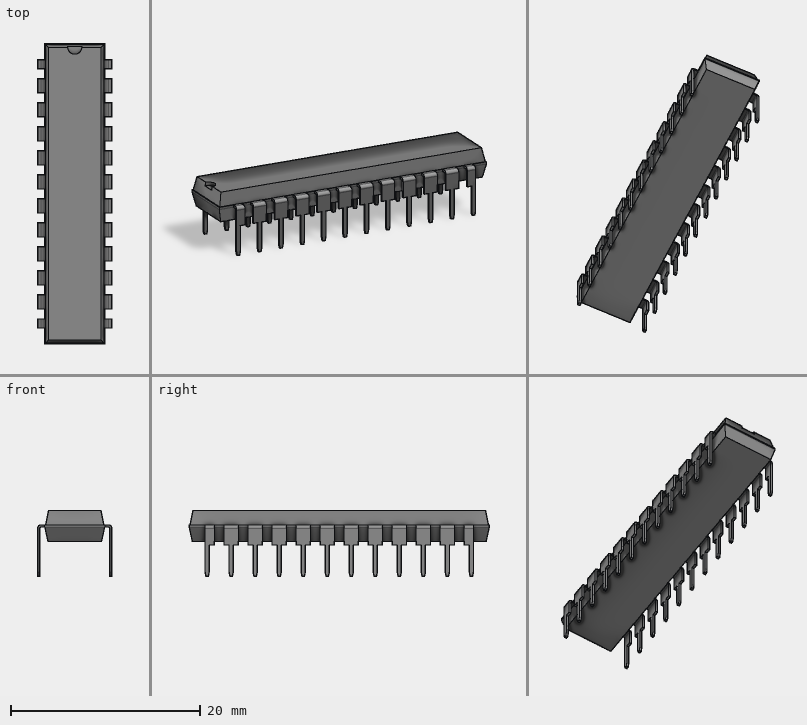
import cadquery as cq


body_length = 31.75
body_width = 6.35
body_height = 3.3
standoff = 0.38
upper_inset = 0.395
upper_ledge = 0.09
lower_inset = 0.33

notch_radius = 0.75
notch_depth = 0.4
notch_inset = 0.35

pins_per_side = 12
pitch = 2.54
row_spacing = 7.62
lead_thickness = 0.25
shoulder_width = 1.524
pin_width = 0.46
pin_length = 3.3
bend_inner_radius = 0.125
tip_height = 0.45
tip_width = 0.28
lead_embed = 0.5

body_bottom = standoff
body_top = standoff + body_height
band_bottom = (body_bottom + body_top - lead_thickness) / 2
band_top = band_bottom + lead_thickness
lead_outer_x = (row_spacing + lead_thickness) / 2
bend_outer_radius = bend_inner_radius + lead_thickness


def body_section(z, inset):
    """Rectangle at height z, drawn in from the largest body outline."""
    return cq.Workplane("XY").workplane(offset=z).rect(body_width - 2 * inset, body_length - 2 * inset)


def tapered_block(z_start, inset_start, z_end, inset_end):
    """Four-sided block that tapers between two body sections."""
    return (
        body_section(z_start, inset_start)
        .workplane(offset=z_end - z_start)
        .rect(body_width - 2 * inset_end, body_length - 2 * inset_end)
        .loft(ruled=True)
    )


def make_body():
    """Parting band with a tapered half above and below it, less the end notch."""
    band = body_section(band_bottom, 0).extrude(lead_thickness)
    upper = tapered_block(band_top, upper_ledge, body_top, upper_inset)
    lower = tapered_block(band_bottom, 0, body_bottom, lower_inset)
    return band.union(upper).union(lower).cut(make_notch())


def make_notch():
    """U-shaped pocket in the top face, open through the +Y end."""
    center_y = body_length / 2 - notch_inset
    floor = cq.Workplane("XY").workplane(offset=body_top - notch_depth)
    return (
        floor.moveTo(-notch_radius, body_length / 2)
        .lineTo(-notch_radius, center_y)
        .threePointArc((0, center_y - notch_radius), (notch_radius, center_y))
        .lineTo(notch_radius, body_length / 2)
        .close()
        .extrude(notch_depth)
    )


def make_bent_strip():
    """Bent strip of the +X side, as wide as a shoulder and centred on Y = 0."""
    inner_end = body_width / 2 - lead_embed
    lead_inner_x = lead_outer_x - lead_thickness
    return (
        cq.Workplane("XZ")
        .moveTo(inner_end, band_top)
        .lineTo(lead_outer_x - bend_outer_radius, band_top)
        .radiusArc((lead_outer_x, band_top - bend_outer_radius), bend_outer_radius)
        .lineTo(lead_outer_x, -pin_length)
        .lineTo(lead_inner_x, -pin_length)
        .lineTo(lead_inner_x, band_bottom - bend_inner_radius)
        .radiusArc((lead_inner_x - bend_inner_radius, band_bottom), -bend_inner_radius)
        .lineTo(inner_end, band_bottom)
        .close()
        .extrude(shoulder_width / 2, both=True)
    )


def make_lead(shoulder_low, shoulder_high):
    """Lead of the +X side with its pin on Y = 0 and its shoulder between the two Y limits."""
    half_pin = pin_width / 2
    half_tip = tip_width / 2
    tip_start = -pin_length + tip_height
    shoulder = (
        cq.Workplane("YZ")
        .moveTo(shoulder_low, 0)
        .lineTo(shoulder_high, 0)
        .lineTo(shoulder_high, band_top)
        .lineTo(shoulder_low, band_top)
        .close()
        .extrude(lead_outer_x)
    )
    pin = (
        cq.Workplane("YZ")
        .moveTo(-half_pin, band_top)
        .lineTo(-half_pin, tip_start)
        .lineTo(-half_tip, -pin_length)
        .lineTo(half_tip, -pin_length)
        .lineTo(half_pin, tip_start)
        .lineTo(half_pin, band_top)
        .close()
        .extrude(lead_outer_x)
    )
    return make_bent_strip().intersect(shoulder.union(pin))


def make_lead_row():
    """Row of the +X side; the end leads have no shoulder on their outer edge."""
    half_shoulder = shoulder_width / 2
    half_pin = pin_width / 2
    first_y = -pitch * (pins_per_side - 1) / 2
    last = pins_per_side - 1
    leads = []
    for index in range(pins_per_side):
        low = -half_pin if index == 0 else -half_shoulder
        high = half_pin if index == last else half_shoulder
        lead = make_lead(low, high)
        leads.append(lead.translate((0, first_y + index * pitch, 0)))
    return leads


result = make_body()
for lead in make_lead_row():
    result = result.union(lead).union(lead.mirror("YZ"))